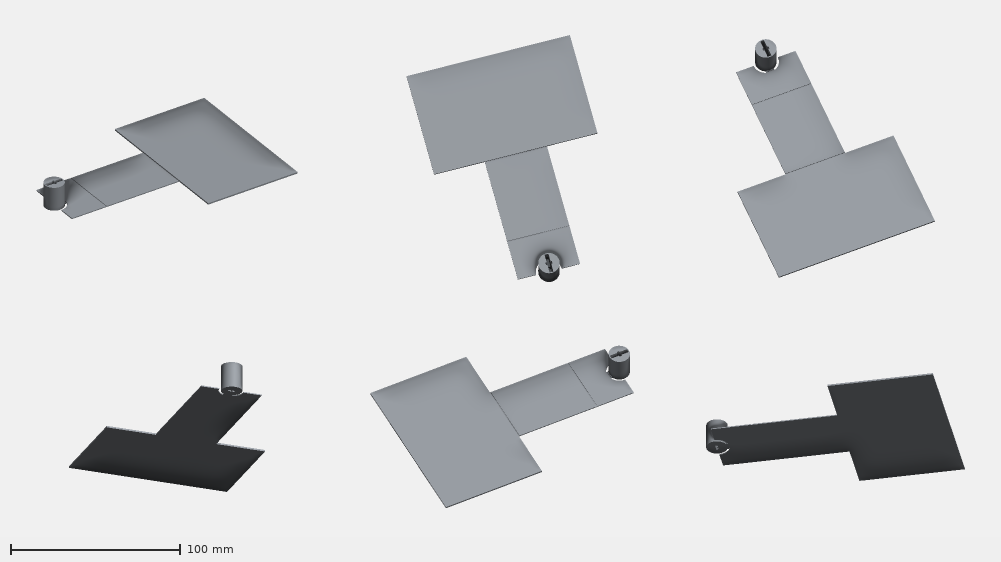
import cadquery as cq
import math

INCH = 25.4

knob_diameter = INCH / 2
knob_height = INCH * 5 / 8
slot_width = INCH * 3 / 32
slot_length = INCH * 0.45
slot_depth = INCH * 3 / 8

hole_pair_width = INCH * 5 / 32
hole_length = INCH / 16
bar_width = INCH / 64

panel_width = 100.0
panel_length = INCH * 5 / 2
panel_thickness = 1.0

strap_width = INCH * 3 / 2
strap_length = INCH * 3
strap_thickness = 0.65
notch_radius = 7.8

web_thickness = 0.3
hinge_width = 0.65
strap_hinge_y = 24.4
neck_width = 5.4
neck_lip = INCH / 64


def block(width, y_start, y_end, z_start, z_end):
    """Box centred on X that spans the given Y and Z ranges."""
    return (
        cq.Workplane("XY")
        .box(width, y_end - y_start, z_end - z_start, centered=(True, False, False))
        .translate((0, y_start, z_start))
    )


def make_panel():
    return block(panel_width, strap_length, strap_length + panel_length, 0, panel_thickness)


def make_strap():
    """Strap with two hinge grooves and a round notch that clears the knob."""
    strap = block(strap_width, 0, strap_length, 0, strap_thickness)
    groove_ranges = (
        (strap_length - hinge_width, strap_length),
        (strap_hinge_y - hinge_width / 2, strap_hinge_y + hinge_width / 2),
    )
    for y_start, y_end in groove_ranges:
        strap = strap.cut(block(strap_width, y_start, y_end, web_thickness, strap_thickness))
    notch = cq.Workplane("XY").circle(notch_radius).extrude(strap_thickness)
    return strap.cut(notch)


def make_neck():
    """Bridge across the notch: a thin web between a curved lip on the knob and a straight strap edge."""
    knob_radius = knob_diameter / 2
    web_start = slot_length / 2
    web_end = math.sqrt(notch_radius**2 - (neck_width / 2) ** 2)
    web = block(neck_width, web_start, web_end, 0, web_thickness)
    strap_edge = block(neck_width, web_end, notch_radius, 0, strap_thickness)
    lip_disc = cq.Workplane("XY").circle(knob_radius + neck_lip).extrude(strap_thickness)
    lip = lip_disc.intersect(block(neck_width, web_start, notch_radius, 0, strap_thickness))
    return web.union(strap_edge).union(lip)


def make_knob():
    """Post with a blind slot in its top and two holes through its full height."""
    knob = cq.Workplane("XY").circle(knob_diameter / 2).extrude(knob_height)
    slot_floor = knob_height - slot_depth
    knob = knob.cut(block(slot_width, -slot_length / 2, slot_length / 2, slot_floor, knob_height))
    hole_width = (hole_pair_width - bar_width) / 2
    hole_spacing = hole_width + bar_width
    holes = (
        cq.Workplane("XY")
        .rarray(hole_spacing, 1, 2, 1)
        .rect(hole_width, hole_length)
        .extrude(knob_height)
    )
    return knob.cut(holes)


result = make_panel().union(make_strap()).union(make_neck()).union(make_knob())